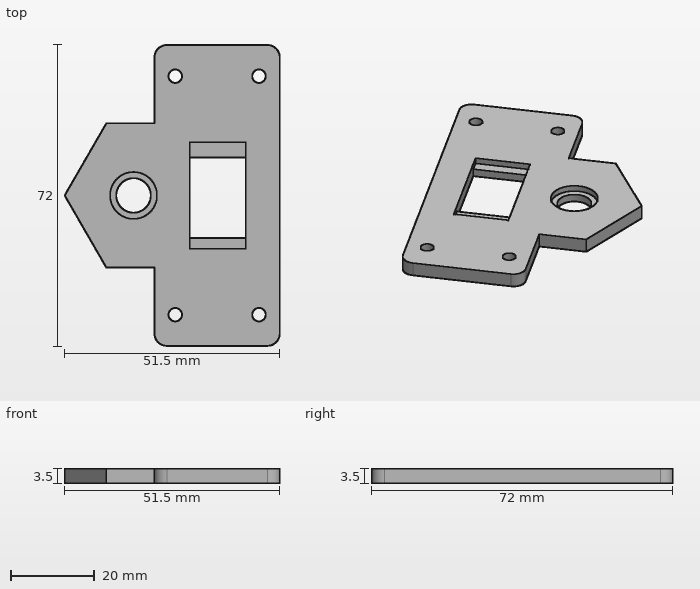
import cadquery as cq
import math

plate_length = 72.0
plate_width = 30.0
thickness = 3.5
corner_radius = 3.0
right_edge = plate_width / 2
left_edge = -plate_width / 2

overall_width = 51.5
hexagon_side = 19.95
tab_tip = right_edge - overall_width
tab_shoulder = tab_tip + hexagon_side / 2
tab_half_height = hexagon_side * math.sqrt(3) / 2

bore_diameter = 8.2
counterbore_diameter = 11.2
bore_from_tip = 16.5
recess_depth = 1.5

window_width = 13.3
window_length = 25.4
window_to_right_edge = 8.2
rear_ledge = 3.7
front_ledge = 2.6

mount_diameter = 3.2
mount_spacing_x = 20.0
mount_spacing_y = 57.0


def make_body():
    plate = (
        cq.Workplane("XY")
        .rect(plate_width, plate_length)
        .extrude(thickness)
        .edges("|Z")
        .fillet(corner_radius)
    )
    tab = (
        cq.Workplane("XY")
        .moveTo(tab_tip, 0)
        .lineTo(tab_shoulder, tab_half_height)
        .lineTo(0, tab_half_height)
        .lineTo(0, -tab_half_height)
        .lineTo(tab_shoulder, -tab_half_height)
        .close()
        .extrude(thickness)
    )
    return plate.union(tab)


def cut_counterbored_hole(body):
    return (
        body.faces(">Z")
        .workplane(origin=(tab_tip + bore_from_tip, 0, thickness))
        .cboreHole(bore_diameter, counterbore_diameter, recess_depth)
    )


def cut_window(body):
    center_x = right_edge - window_to_right_edge - window_width / 2
    opening_length = window_length - rear_ledge - front_ledge
    opening_y = (front_ledge - rear_ledge) / 2
    recess = (
        cq.Workplane("XY", origin=(center_x, 0, thickness))
        .rect(window_width, window_length)
        .extrude(-recess_depth)
    )
    opening = (
        cq.Workplane("XY", origin=(center_x, opening_y, 0))
        .rect(window_width, opening_length)
        .extrude(thickness)
    )
    return body.cut(recess).cut(opening)


def cut_mounting_holes(body):
    return (
        body.faces(">Z")
        .workplane(origin=(0, 0, thickness))
        .rect(mount_spacing_x, mount_spacing_y, forConstruction=True)
        .vertices()
        .hole(mount_diameter)
    )


result = cut_mounting_holes(cut_window(cut_counterbored_hole(make_body())))